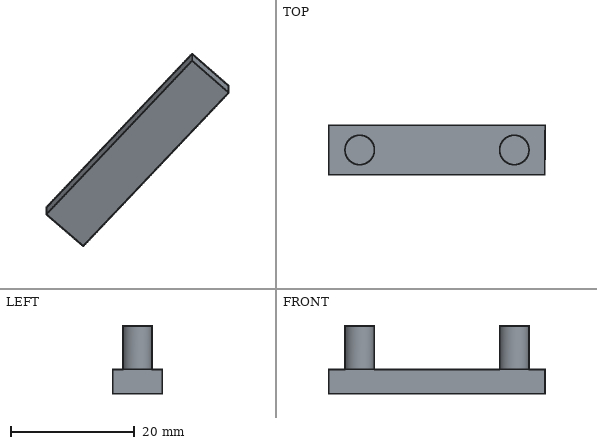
import cadquery as cq

bar_length = 35.0
bar_width = 8.0
bar_height = 4.0
end_skew = 0.07

pin_diameter = 4.75
pin_height = 7.0
pin_spacing = 25.0

half_length = bar_length / 2
half_width = bar_width / 2

bar = (
    cq.Workplane("XY")
    .moveTo(-half_length, -half_width)
    .lineTo(half_length - end_skew, -half_width)
    .lineTo(half_length, half_width)
    .lineTo(-half_length, half_width)
    .close()
    .extrude(bar_height)
)

pins = (
    cq.Workplane("XY")
    .pushPoints([(-pin_spacing / 2, 0), (pin_spacing / 2, 0)])
    .circle(pin_diameter / 2)
    .extrude(bar_height + pin_height)
)

result = bar.union(pins)